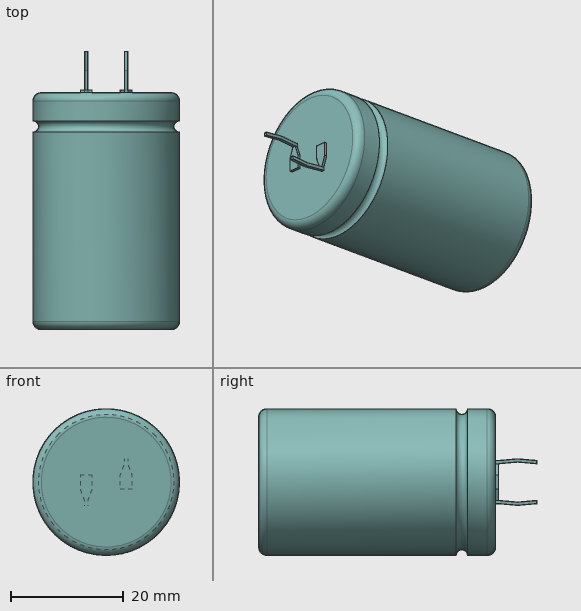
import cadquery as cq
import math

can_diameter = 26.0
can_length = 42.0
end_round = 1.5

groove_radius = 1.0
groove_from_terminal_end = 6.0

terminal_pitch = 10.0
pin_width = 0.6
pin_thickness = 0.6
pin_bend = 0.3
terminal_height = 7.29

foot_height = 0.5
foot_width = 2.1
foot_shoulder = 1.25

can_radius = can_diameter / 2
terminal_offset = terminal_pitch / 2 * math.sqrt(0.5)
pin_outer = terminal_offset + pin_thickness / 2
pin_inner = terminal_offset - pin_thickness / 2


def make_can():
    """Solid cylinder with both end rims rounded."""
    can = cq.Workplane("XZ").circle(can_radius).extrude(can_length)
    return can.edges().fillet(end_round)


def make_groove():
    """Ring with a round section, centred on the surface of the can."""
    return (
        cq.Workplane("XY")
        .center(can_radius, -groove_from_terminal_end)
        .circle(groove_radius)
        .revolve(360, (-can_radius, 0), (-can_radius, 1))
    )


def make_foot():
    """Flat plate that narrows to the pin width at its outer (+Z) end."""
    half_foot = foot_width / 2
    half_pin = pin_width / 2
    outline = [
        (-half_foot, -foot_shoulder),
        (half_foot, -foot_shoulder),
        (half_foot, foot_shoulder),
        (half_pin, pin_inner),
        (half_pin, pin_outer),
        (-half_pin, pin_outer),
        (-half_pin, pin_inner),
        (-half_foot, foot_shoulder),
    ]
    return cq.Workplane("XZ").polyline(outline).close().extrude(-foot_height)


def make_pin():
    """Strip that stands on the foot and is bent outward (+Z) at mid height."""
    middle = (foot_height + terminal_height) / 2
    outline = [
        (foot_height, pin_inner),
        (foot_height, pin_outer),
        (middle, pin_outer + pin_bend),
        (terminal_height, pin_outer),
        (terminal_height, pin_inner),
        (middle, pin_inner + pin_bend),
    ]
    return cq.Workplane("YZ").polyline(outline).close().extrude(pin_width / 2, both=True)


result = make_can().cut(make_groove())

terminal = make_foot().union(make_pin()).translate((terminal_offset, 0, 0))
for angle in (0, 180):
    result = result.union(terminal.rotate((0, 0, 0), (0, 1, 0), angle))